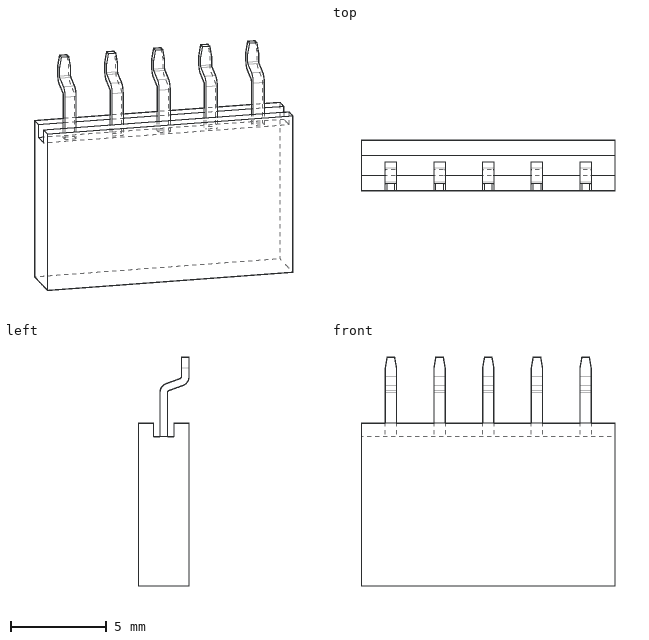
import cadquery as cq
import math

housing_length = 13.25
housing_depth = 2.65
housing_height = 8.5
groove_wall = 0.8
groove_depth = 0.7
groove_width = housing_depth - 2 * groove_wall
groove_floor = housing_height - groove_depth

pin_count = 5
pin_pitch = 2.54
pin_width = 0.6
pin_thickness = 0.4
pin_top = 11.95
tip_width = 0.4
tip_length = 0.58

upper_bend_end = 10.93
inner_bend_radius = 0.1
bend_angle = math.radians(70)
bend_radius = inner_bend_radius + pin_thickness / 2
jog_offset = (housing_depth - pin_thickness) / 2
bend_run = bend_radius * (1 - math.cos(bend_angle))
bend_rise = bend_radius * math.sin(bend_angle)
slope_run = jog_offset - 2 * bend_run
slope_rise = slope_run / math.tan(bend_angle)
lower_bend_start = upper_bend_end - 2 * bend_rise - slope_rise


def make_housing():
    """Block centred on X and Y, standing on Z = 0, grooved along X."""
    block = cq.Workplane("XY").box(
        housing_length, housing_depth, housing_height, centered=(True, True, False)
    )
    groove = (
        cq.Workplane("XY")
        .workplane(offset=groove_floor)
        .box(housing_length, groove_width, groove_depth, centered=(True, True, False))
    )
    return block.cut(groove)


def make_pin_path():
    """Centreline of a pin in the YZ plane, from the groove floor to the tip."""
    half_angle = bend_angle / 2
    half_bend_run = bend_radius * (1 - math.cos(half_angle))
    half_bend_rise = bend_radius * math.sin(half_angle)
    lower_bend_middle = (-half_bend_run, lower_bend_start + half_bend_rise)
    lower_bend_end = (-bend_run, lower_bend_start + bend_rise)
    upper_bend_start = (bend_run - jog_offset, upper_bend_end - bend_rise)
    upper_bend_middle = (half_bend_run - jog_offset, upper_bend_end - half_bend_rise)
    return (
        cq.Workplane("YZ")
        .moveTo(0, groove_floor)
        .lineTo(0, lower_bend_start)
        .threePointArc(lower_bend_middle, lower_bend_end)
        .lineTo(*upper_bend_start)
        .threePointArc(upper_bend_middle, (-jog_offset, upper_bend_end))
        .lineTo(-jog_offset, pin_top)
    )


def make_pin_silhouette():
    """Pin outline along Y with the tapered tip, as deep as the housing."""
    taper_start = pin_top - tip_length
    return (
        cq.Workplane("XZ")
        .polyline([
            (-pin_width / 2, groove_floor),
            (pin_width / 2, groove_floor),
            (pin_width / 2, taper_start),
            (tip_width / 2, pin_top),
            (-tip_width / 2, pin_top),
            (-pin_width / 2, taper_start),
        ])
        .close()
        .extrude(housing_depth / 2, both=True)
    )


def make_pin(x):
    """One bent pin at the given X, standing on the groove floor."""
    strip = (
        cq.Workplane("XY")
        .workplane(offset=groove_floor)
        .rect(pin_width, pin_thickness)
        .sweep(make_pin_path())
    )
    return strip.intersect(make_pin_silhouette()).translate((x, 0, 0))


housing = make_housing()

pins = []
for index in range(pin_count):
    pin_x = (index - (pin_count - 1) / 2) * pin_pitch
    pins.append(make_pin(pin_x))

result = cq.Compound.makeCompound([housing.val(), *[pin.val() for pin in pins]])